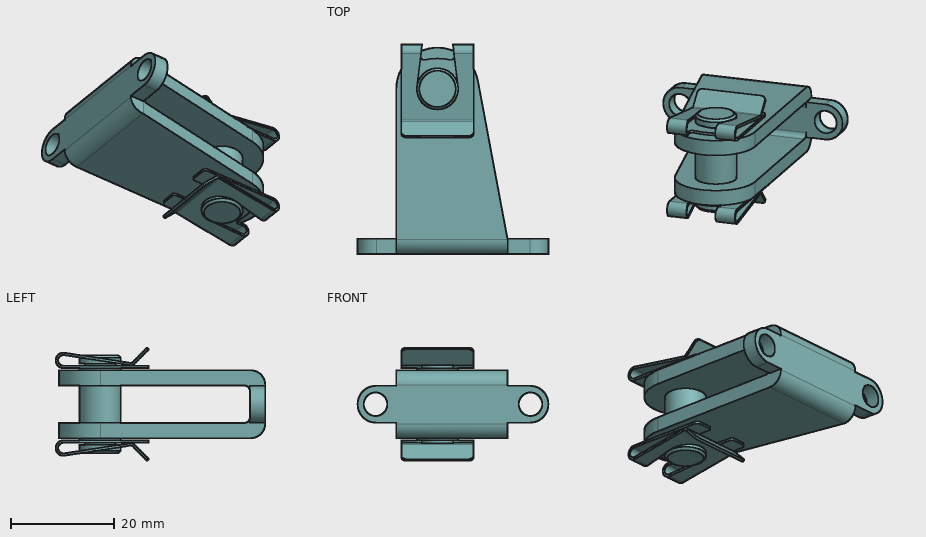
import cadquery as cq
import math


PIN_DIAMETER = 8.0
PIN_HALF_LENGTH = 9.5
PIN_CHAMFER = 0.5
GROOVE_RADIUS = 3.0
GROOVE_START = 7.0
GROOVE_WIDTH = 0.9

PLATE_THICKNESS = 3.0
INNER_GAP = 7.2
ARM_TIP_RADIUS = 8.0
ARM_RIGHT_X = 13.55
BACK_Y = -32.0
BEND_OUTER_RADIUS = 2.85
BEND_INNER_RADIUS = 1.0
EAR_CENTER_X = 3.0
EAR_LENGTH = 37.0
EAR_HOLE_DIAMETER = 4.5
EAR_HOLE_SPACING = 30.0

CLIP_THICKNESS = 0.5
CLIP_HALF_WIDTH = 7.0
CLIP_CORNER_RADIUS = 0.95
LOOP_RADIUS = 1.5
LOOP_END_Y = 8.6
PRONG_END_Y = -9.38
PRONG_CORNER_RADIUS = 0.5
KINK_Y = -6.3
KINK_INNER_RADIUS = 0.32
TAB_TIP_TOP = 10.95
TAB_ANGLE = 45.0
SLOT_MOUTH_HALF_WIDTH = 2.95
SLOT_MIDDLE_Y = 5.9
SLOT_CORNER_Y = 5.35
SLOT_CORNER_RADIUS = 0.65

PIN_RADIUS = PIN_DIAMETER / 2
BRACKET_HALF_HEIGHT = INNER_GAP / 2 + PLATE_THICKNESS
PLATE_FRONT_Y = BACK_Y + PLATE_THICKNESS
BRACKET_LEFT_X = -ARM_TIP_RADIUS
CLIP_BOTTOM = GROOVE_START
CLIP_TOP_OF_LEG = CLIP_BOTTOM + CLIP_THICKNESS
LOOP_CENTER_Y = LOOP_END_Y - LOOP_RADIUS
LOOP_CENTER_Z = CLIP_BOTTOM + LOOP_RADIUS
LOOP_INNER_RADIUS = LOOP_RADIUS - CLIP_THICKNESS


def tangent_point(radius, corner, turn):
    """Point where a line from the corner touches a circle about the pin axis.

    A turn of 1 takes the touching point counterclockwise from the corner, -1 clockwise.
    """
    corner_x, corner_y = corner
    corner_angle = math.atan2(corner_y, corner_x)
    angle = corner_angle + turn * math.acos(radius / math.hypot(corner_x, corner_y))
    return (radius * math.cos(angle), radius * math.sin(angle))


def make_pin():
    """Round pin with a retaining groove near each chamfered end."""
    pin = cq.Workplane("XY").circle(PIN_RADIUS).extrude(PIN_HALF_LENGTH, both=True)
    pin = pin.faces("<Z or >Z").chamfer(PIN_CHAMFER)
    groove = (
        cq.Workplane("XY")
        .workplane(offset=GROOVE_START)
        .circle(PIN_RADIUS)
        .circle(GROOVE_RADIUS)
        .extrude(GROOVE_WIDTH)
    )
    return pin.cut(groove).cut(groove.mirror("XY"))


def make_arm_outline():
    """Tapered arm seen along Z: straight left side, right side tangent to the round tip."""
    right_corner = (ARM_RIGHT_X, PLATE_FRONT_Y)
    return (
        cq.Workplane("XY")
        .moveTo(BRACKET_LEFT_X, BACK_Y)
        .lineTo(BRACKET_LEFT_X, 0)
        .threePointArc((0, ARM_TIP_RADIUS), tangent_point(ARM_TIP_RADIUS, right_corner, 1))
        .lineTo(*right_corner)
        .lineTo(ARM_RIGHT_X, BACK_Y)
        .close()
    )


def make_bracket():
    """Bent U-shaped bracket with two eared mounting holes and a bore for the pin."""
    bracket = make_arm_outline().extrude(BRACKET_HALF_HEIGHT, both=True)
    bracket = bracket.edges("|X and <Y").fillet(BEND_OUTER_RADIUS)

    gap_end_y = ARM_TIP_RADIUS + PLATE_THICKNESS
    gap_length = gap_end_y - PLATE_FRONT_Y
    gap = (
        cq.Workplane("XY")
        .box(2 * EAR_LENGTH, gap_length, INNER_GAP)
        .translate((0, (gap_end_y + PLATE_FRONT_Y) / 2, 0))
        .edges("|X and <Y")
        .fillet(BEND_INNER_RADIUS)
    )
    bracket = bracket.cut(gap)

    ears = (
        cq.Workplane("XZ", origin=(EAR_CENTER_X, BACK_Y, 0))
        .slot2D(EAR_LENGTH, INNER_GAP)
        .extrude(-PLATE_THICKNESS)
    )
    bracket = bracket.union(ears)

    ear_holes = (
        cq.Workplane("XZ", origin=(EAR_CENTER_X, BACK_Y, 0))
        .rarray(EAR_HOLE_SPACING, 0.4, 2, 1)
        .circle(EAR_HOLE_DIAMETER / 2)
        .extrude(-PLATE_THICKNESS)
    )
    pin_bore = cq.Workplane("XY").circle(PIN_RADIUS).extrude(BRACKET_HALF_HEIGHT, both=True)
    return bracket.cut(ear_holes).cut(pin_bore)


def make_clip_strip():
    """Folded strip: flat lower leg, round loop, sloping upper leg and upturned tab."""
    kink_z = CLIP_TOP_OF_LEG
    to_loop_y = LOOP_CENTER_Y - KINK_Y
    to_loop_z = LOOP_CENTER_Z - kink_z
    tangent_turn = math.asin(LOOP_INNER_RADIUS / math.hypot(to_loop_y, to_loop_z))
    slope = math.atan2(to_loop_z, to_loop_y) + tangent_turn

    def loop_point(radius, angle):
        return (LOOP_CENTER_Y + radius * math.cos(angle), LOOP_CENTER_Z + radius * math.sin(angle))

    leg_normal = math.pi / 2 + slope
    loop_middle = slope / 2

    tab_slope = math.radians(TAB_ANGLE)
    bisector = math.pi / 2 + (slope - tab_slope) / 2
    miter = CLIP_THICKNESS / math.cos((slope + tab_slope) / 2)
    kink_top = (KINK_Y + miter * math.cos(bisector), kink_z + miter * math.sin(bisector))

    tab_reach = (TAB_TIP_TOP - CLIP_THICKNESS * math.cos(tab_slope) - kink_z) / math.sin(tab_slope)
    tip_bottom = (KINK_Y - tab_reach * math.cos(tab_slope), kink_z + tab_reach * math.sin(tab_slope))
    tip_top = (tip_bottom[0] + CLIP_THICKNESS * math.sin(tab_slope), TAB_TIP_TOP)

    profile = (
        cq.Workplane("YZ")
        .moveTo(PRONG_END_Y, CLIP_BOTTOM)
        .lineTo(LOOP_CENTER_Y, CLIP_BOTTOM)
        .threePointArc(loop_point(LOOP_RADIUS, loop_middle), loop_point(LOOP_RADIUS, leg_normal))
        .lineTo(*kink_top)
        .lineTo(*tip_top)
        .lineTo(*tip_bottom)
        .lineTo(KINK_Y, kink_z)
        .lineTo(*loop_point(LOOP_INNER_RADIUS, leg_normal))
        .threePointArc(
            loop_point(LOOP_INNER_RADIUS, loop_middle),
            (LOOP_CENTER_Y, CLIP_TOP_OF_LEG),
        )
        .lineTo(PRONG_END_Y, CLIP_TOP_OF_LEG)
        .close()
    )
    strip = profile.extrude(CLIP_HALF_WIDTH, both=True)

    outer_edge = strip.edges(cq.selectors.NearestToPointSelector((0, KINK_Y, kink_z)))
    strip = outer_edge.fillet(KINK_INNER_RADIUS + CLIP_THICKNESS)
    inner_edge = strip.edges(cq.selectors.NearestToPointSelector((0, *kink_top)))
    return inner_edge.fillet(KINK_INNER_RADIUS)


def make_upper_slot():
    """Slot for the pin head: round at the pin, narrowing toward the loop."""
    tangent_x, tangent_y = tangent_point(PIN_RADIUS, (SLOT_MOUTH_HALF_WIDTH, LOOP_END_Y), -1)
    return (
        cq.Workplane("XY")
        .workplane(offset=CLIP_TOP_OF_LEG)
        .moveTo(SLOT_MOUTH_HALF_WIDTH, LOOP_END_Y)
        .lineTo(tangent_x, tangent_y)
        .threePointArc((0, -PIN_RADIUS), (-tangent_x, tangent_y))
        .lineTo(-SLOT_MOUTH_HALF_WIDTH, LOOP_END_Y)
        .close()
        .extrude(PIN_HALF_LENGTH)
    )


def make_lower_slot():
    """Loop end of the slot, cut into the lower leg between the same slanted sides."""
    tangent_x, tangent_y = tangent_point(PIN_RADIUS, (SLOT_MOUTH_HALF_WIDTH, LOOP_END_Y), -1)
    side_slope = (tangent_x - SLOT_MOUTH_HALF_WIDTH) / (LOOP_END_Y - tangent_y)
    corner_x = SLOT_MOUTH_HALF_WIDTH + side_slope * (LOOP_END_Y - SLOT_CORNER_Y)
    return (
        cq.Workplane("XY")
        .moveTo(SLOT_MOUTH_HALF_WIDTH, LOOP_END_Y)
        .lineTo(corner_x, SLOT_CORNER_Y)
        .threePointArc((0, SLOT_MIDDLE_Y), (-corner_x, SLOT_CORNER_Y))
        .lineTo(-SLOT_MOUTH_HALF_WIDTH, LOOP_END_Y)
        .close()
        .extrude(PIN_HALF_LENGTH)
        .edges("|Z and (not >Y)")
        .fillet(SLOT_CORNER_RADIUS)
    )


def make_clip():
    """Upper spring clip: its forked lower leg sits in the pin groove, its tab flares outward."""
    clip = make_clip_strip()

    fork_round = (
        cq.Workplane("XY")
        .workplane(offset=CLIP_BOTTOM)
        .circle(GROOVE_RADIUS)
        .extrude(CLIP_THICKNESS)
    )
    fork_opening = (
        cq.Workplane("XY")
        .box(2 * GROOVE_RADIUS, -PRONG_END_Y, CLIP_THICKNESS, centered=(True, False, False))
        .translate((0, PRONG_END_Y, CLIP_BOTTOM))
    )
    clip = clip.cut(fork_round.union(fork_opening))

    prong_edges = clip.edges("|Z").edges("<Y")
    clip = prong_edges.edges("not (<X or >X)").fillet(PRONG_CORNER_RADIUS)
    clip = clip.edges("|Z").edges("<X or >X").fillet(CLIP_CORNER_RADIUS)

    tab_slope = math.radians(TAB_ANGLE)
    across_tab = cq.Vector(0, math.sin(tab_slope), math.cos(tab_slope))
    clip = clip.edges(cq.selectors.ParallelDirSelector(across_tab)).fillet(CLIP_CORNER_RADIUS)

    return clip.cut(make_upper_slot()).cut(make_lower_slot())


pin = make_pin()
bracket = make_bracket()
upper_clip = make_clip()
clips = [upper_clip, upper_clip.mirror("XY")]

result = cq.Compound.makeCompound([bracket.val(), pin.val(), *[clip.val() for clip in clips]])